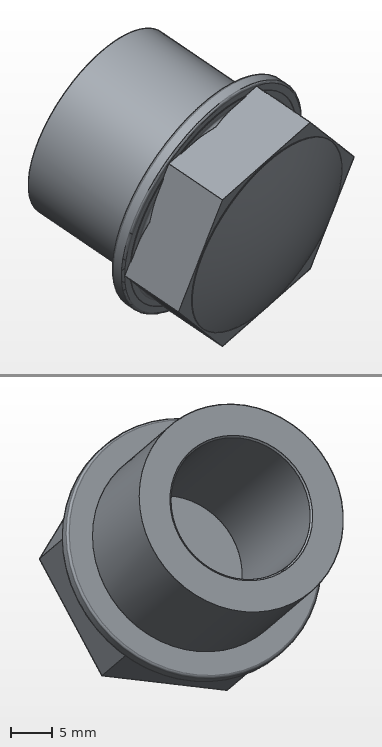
import cadquery as cq
import math

length = 30.0
flange_start = 16.3
flange_end = 18.18
hex_end = 26.83
dome_start = 26.95

spigot_diameter = 26.4
flange_diameter = 33.0
flange_edge_radius = 0.3
across_flats = 28.02
across_corners = across_flats / math.cos(math.pi / 6)
dome_base_radius = 13.8

seat_diameter = 30.5
seat_height = 0.1
flare_radius = 0.4

bore_diameter = 18.0
bore_chamfer = 0.23
bore_depth = 24.0


def cylinder(diameter, start, end):
    """Solid cylinder on the X axis between two stations."""
    return cq.Workplane("YZ", origin=(start, 0, 0)).circle(diameter / 2).extrude(end - start)


spigot = cylinder(spigot_diameter, 0, flange_start)
flange = cylinder(flange_diameter, flange_start, flange_end).edges().fillet(flange_edge_radius)

seat_end = flange_end + seat_height
seat = cylinder(seat_diameter, flange_end, seat_end)
flare_inner_radius = across_flats / 2
flare_top = seat_end + flare_radius
flare_center_radius = flare_inner_radius + flare_radius
flare_middle = (
    flare_top - flare_radius * math.cos(math.pi / 4),
    flare_center_radius - flare_radius * math.sin(math.pi / 4),
)
flare = (
    cq.Workplane("XY")
    .moveTo(seat_end, 0)
    .lineTo(seat_end, flare_center_radius)
    .threePointArc(flare_middle, (flare_top, flare_inner_radius))
    .lineTo(flare_top, 0)
    .close()
    .revolve(360, (0, 0, 0), (1, 0, 0))
)

head = (
    cq.Workplane("YZ", origin=(flange_end, 0, 0))
    .polygon(6, across_corners)
    .extrude(hex_end - flange_end)
)

collar = cylinder(2 * dome_base_radius, hex_end, dome_start)

dome_height = length - dome_start
sphere_radius = (dome_base_radius**2 + dome_height**2) / (2 * dome_height)
half_angle = math.asin(dome_base_radius / sphere_radius) / 2
arc_middle = (
    length - sphere_radius * (1 - math.cos(half_angle)),
    sphere_radius * math.sin(half_angle),
)
dome = (
    cq.Workplane("XY")
    .moveTo(dome_start, 0)
    .lineTo(dome_start, dome_base_radius)
    .threePointArc(arc_middle, (length, 0))
    .close()
    .revolve(360, (0, 0, 0), (1, 0, 0))
)

bore = cylinder(bore_diameter, 0, bore_depth)
mouth_chamfer = cq.Workplane("XY").add(
    cq.Solid.makeCone(
        bore_diameter / 2 + bore_chamfer,
        bore_diameter / 2,
        bore_chamfer,
        cq.Vector(0, 0, 0),
        cq.Vector(1, 0, 0),
    )
)

outer_body = spigot.union(flange).union(seat).union(flare).union(head).union(collar).union(dome)
result = outer_body.cut(bore).cut(mouth_chamfer)